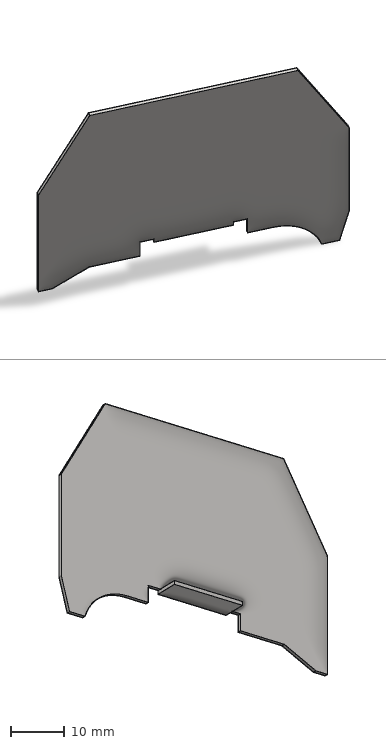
import cadquery as cq
import math

overall_x = 5.3
length = 61.0
height = 45.5
thickness = 0.8

top_length = 40.9
shoulder_z = 28.05

step = 3.5
toe_z = step
underside_z = 2 * step
notch_top_z = 10.5
notch_length = 21.1
toe_width = 2.7
toe_slope_start_y = -20.55
foot_outer_y = 28.6
foot_inner_y = 25.1
foot_taper_z = underside_z
foot_arc_radius = 10.0

tab_length = 15.6

arc_center_z = underside_z - foot_arc_radius
arc_half_width = math.sqrt(foot_arc_radius**2 - arc_center_z**2)
arc_center_y = foot_inner_y - arc_half_width
arc_mid_angle = (math.pi / 2 + math.atan2(-arc_center_z, arc_half_width)) / 2
arc_mid = (
    arc_center_y + foot_arc_radius * math.cos(arc_mid_angle),
    arc_center_z + foot_arc_radius * math.sin(arc_mid_angle),
)


def make_plate():
    """Upright plate, extruded along X from its YZ outline."""
    half_length = length / 2
    half_top = top_length / 2
    half_notch = notch_length / 2
    return (
        cq.Workplane("YZ", origin=(overall_x - thickness, 0, 0))
        .moveTo(foot_inner_y, 0)
        .lineTo(foot_outer_y, 0)
        .lineTo(half_length, foot_taper_z)
        .lineTo(half_length, shoulder_z)
        .lineTo(half_top, height)
        .lineTo(-half_top, height)
        .lineTo(-half_length, shoulder_z)
        .lineTo(-half_length, toe_z)
        .lineTo(-half_length + toe_width, toe_z)
        .lineTo(toe_slope_start_y, underside_z)
        .lineTo(-half_notch, underside_z)
        .lineTo(-half_notch, notch_top_z)
        .lineTo(half_notch, notch_top_z)
        .lineTo(half_notch, underside_z)
        .lineTo(arc_center_y, underside_z)
        .threePointArc(arc_mid, (foot_inner_y, 0))
        .close()
        .extrude(thickness)
    )


def make_tab():
    """Flat tab passing under the plate, its top flush with the notch's upper edge."""
    return cq.Workplane("XY").box(
        overall_x, tab_length, thickness, centered=(False, True, False)
    ).translate((0, 0, notch_top_z - thickness))


result = make_plate().union(make_tab())